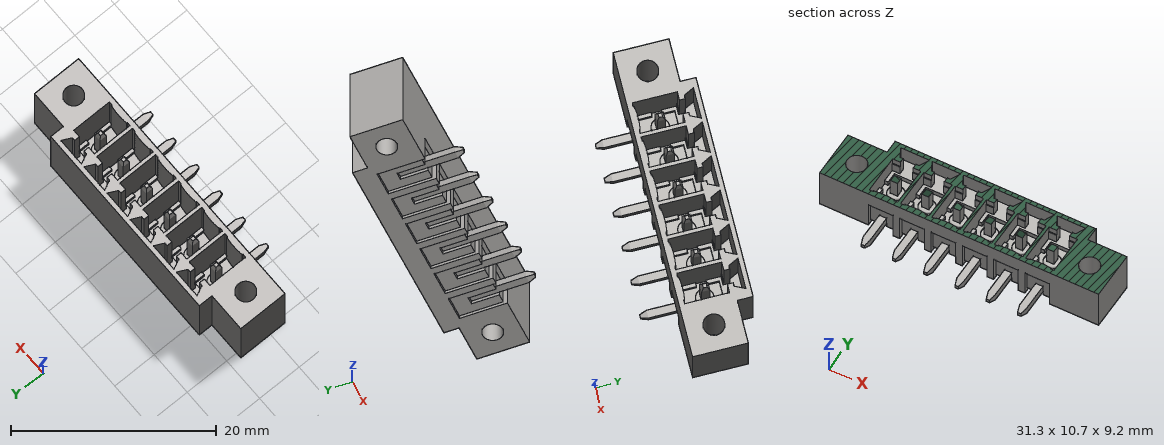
import cadquery as cq

LENGTH = 31.3
HEIGHT = 9.2
FLANGE_DEPTH = 5.6
BLOCK_DEPTH = 7.2
BLOCK_LENGTH = 22.55
HOLE_DIAMETER = 2.13
HOLE_SPACING = 26.1

CONTACT_COUNT = 6
PITCH = 3.5
CONTACT_Y = 2.97

SOCKET_WIDTH = 3.13
SOCKET_FRONT = 0.55
SOCKET_BACK = 5.07
LEDGE_Z = 3.0
ARC_WIDTH = 2.35
ARC_END_Y = 0.65
ARC_MIDDLE_Y = 0.75

DOVETAIL_FRONT = 5.65
DOVETAIL_BACK = 6.7
DOVETAIL_FRONT_WIDTH = 2.13
NECK_WIDTH = 1.4

BACK_STEP_DEPTH = 0.1
BACK_STEP_HEIGHT = 1.0

FLOOR_Z = 2.5
FLOOR_BACK = 4.73
SIDE_NOTCH_WIDTH = 1.03
COLLAR_DIAMETER = 1.8
COLLAR_HEIGHT = 0.25
COLLAR_ROUNDING = 0.2

NOTCH_WIDTH = 2.75
NOTCH_HEIGHT = 3.0
NOTCH_DEPTH = 0.45
RECESS_HEIGHT = 0.38

PIN_WIDTH = 0.8
PIN_TIP_WIDTH = 0.38
PIN_TIP_LENGTH = 0.75
PIN_REACH = 3.5
PIN_LEG_Z = 1.2
PIN_TOP_Z = 7.85

PIN_BACK = CONTACT_Y + PIN_WIDTH / 2
PIN_BOTTOM = PIN_LEG_Z - PIN_WIDTH / 2
CONTACT_XS = [(i - (CONTACT_COUNT - 1) / 2) * PITCH for i in range(CONTACT_COUNT)]


def block(width, y_front, y_back, z_bottom, z_top):
    """Box centred on X = 0 between the given Y and Z limits."""
    size = (width, y_back - y_front, z_top - z_bottom)
    return cq.Workplane("XY").box(*size, centered=(True, False, False)).translate((0, y_front, z_bottom))


def make_shell():
    """Long flanged body with a deeper middle block and a mounting hole at each end."""
    shell = block(LENGTH, 0, FLANGE_DEPTH, 0, HEIGHT).union(block(BLOCK_LENGTH, 0, BLOCK_DEPTH, 0, HEIGHT))
    holes = (
        cq.Workplane("XY")
        .pushPoints([(-HOLE_SPACING / 2, FLANGE_DEPTH / 2), (HOLE_SPACING / 2, FLANGE_DEPTH / 2)])
        .circle(HOLE_DIAMETER / 2)
        .extrude(HEIGHT)
    )
    return shell.cut(holes)


def socket_outline():
    """Socket, neck and dovetail as one outline, with a front wall that bulges inwards."""
    half_socket = SOCKET_WIDTH / 2
    half_arc = ARC_WIDTH / 2
    half_neck = NECK_WIDTH / 2
    half_dovetail = DOVETAIL_FRONT_WIDTH / 2
    return (
        cq.Workplane("XY", origin=(0, 0, LEDGE_Z))
        .moveTo(-half_arc, ARC_END_Y)
        .threePointArc((0, ARC_MIDDLE_Y), (half_arc, ARC_END_Y))
        .lineTo(half_arc, SOCKET_FRONT)
        .lineTo(half_socket, SOCKET_FRONT)
        .lineTo(half_socket, SOCKET_BACK)
        .lineTo(half_neck, SOCKET_BACK)
        .lineTo(half_neck, DOVETAIL_FRONT)
        .lineTo(half_dovetail, DOVETAIL_FRONT)
        .lineTo(half_socket, DOVETAIL_BACK)
        .lineTo(-half_socket, DOVETAIL_BACK)
        .lineTo(-half_dovetail, DOVETAIL_FRONT)
        .lineTo(-half_neck, DOVETAIL_FRONT)
        .lineTo(-half_neck, SOCKET_BACK)
        .lineTo(-half_socket, SOCKET_BACK)
        .lineTo(-half_socket, SOCKET_FRONT)
        .lineTo(-half_arc, SOCKET_FRONT)
        .close()
    )


def make_socket_space():
    """Empty space of one socket, down to its ledges and its sunken floor."""
    opening = socket_outline().extrude(HEIGHT - LEDGE_Z)

    step_front = SOCKET_BACK - BACK_STEP_DEPTH
    step_top = LEDGE_Z + BACK_STEP_HEIGHT
    step = block(SOCKET_WIDTH, step_front, SOCKET_BACK, LEDGE_Z, step_top)
    step = step.cut(block(NECK_WIDTH, step_front, SOCKET_BACK, LEDGE_Z, step_top))

    floor_well = (
        cq.Workplane("XY", origin=(0, 0, FLOOR_Z))
        .moveTo(-ARC_WIDTH / 2, ARC_END_Y)
        .threePointArc((0, ARC_MIDDLE_Y), (ARC_WIDTH / 2, ARC_END_Y))
        .lineTo(ARC_WIDTH / 2, FLOOR_BACK)
        .lineTo(-ARC_WIDTH / 2, FLOOR_BACK)
        .close()
        .extrude(LEDGE_Z - FLOOR_Z)
    )
    side_notches = block(
        SOCKET_WIDTH, CONTACT_Y - SIDE_NOTCH_WIDTH / 2, CONTACT_Y + SIDE_NOTCH_WIDTH / 2, FLOOR_Z, LEDGE_Z
    )
    collar = (
        cq.Workplane("XY", origin=(0, CONTACT_Y, FLOOR_Z))
        .circle(COLLAR_DIAMETER / 2)
        .extrude(COLLAR_HEIGHT)
        .faces(">Z")
        .edges()
        .fillet(COLLAR_ROUNDING)
    )
    return opening.cut(step).union(floor_well).union(side_notches).cut(collar)


def make_base_space():
    """Empty space of one front notch, underside recess and slot for inserting the pin."""
    notch = block(NOTCH_WIDTH, 0, NOTCH_DEPTH, 0, NOTCH_HEIGHT)
    recess = block(NOTCH_WIDTH, 0, SOCKET_BACK, 0, RECESS_HEIGHT)
    slot = block(PIN_WIDTH, 0, PIN_BACK, 0, PIN_BOTTOM)
    return notch.union(recess).union(slot)


def make_pin():
    """Square pin with a vertical leg, a leg out of the front, and a tapered tip on each."""
    straight_end = -PIN_REACH + PIN_TIP_LENGTH
    straight_top = PIN_TOP_Z - PIN_TIP_LENGTH
    front_leg = block(PIN_WIDTH, straight_end, PIN_BACK, PIN_BOTTOM, PIN_BOTTOM + PIN_WIDTH)
    upright_leg = block(PIN_WIDTH, PIN_BACK - PIN_WIDTH, PIN_BACK, PIN_BOTTOM, straight_top)
    front_tip = pin_tip(cq.Workplane("XZ", origin=(0, straight_end, PIN_LEG_Z)))
    upright_tip = pin_tip(cq.Workplane("XY", origin=(0, CONTACT_Y, straight_top)))
    return front_leg.union(upright_leg).union(front_tip).union(upright_tip)


def pin_tip(plane):
    """Truncated pyramid that tapers along the normal of the given plane."""
    return (
        plane.rect(PIN_WIDTH, PIN_WIDTH)
        .workplane(offset=PIN_TIP_LENGTH)
        .rect(PIN_TIP_WIDTH, PIN_TIP_WIDTH)
        .loft(ruled=True)
    )


pin = make_pin()
contact_space = make_socket_space().union(make_base_space()).union(pin)

housing = make_shell()
pins = []
for x in CONTACT_XS:
    housing = housing.cut(contact_space.translate((x, 0, 0)))
    pins.append(pin.translate((x, 0, 0)).val())

result = cq.Compound.makeCompound([housing.val(), *pins])